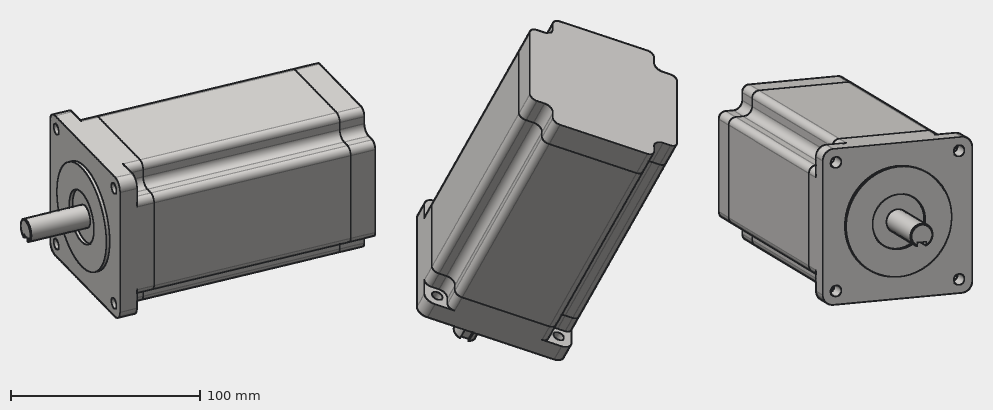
import cadquery as cq

width = 85.0
housing_length = 150.0
shaft_reach = 35.0

flange_thickness = 10.0
front_cap_length = 20.0
rear_cap_length = 14.5
stator_length = housing_length - front_cap_length - rear_cap_length

corner_setback = 13.3
corner_outer_radius = 4.0
corner_inner_radius = 5.0

flange_corner_radius = 6.0
hole_spacing = 70.0
hole_diameter = 6.0

pilot_diameter = 60.0
pilot_height = 2.0
recess_diameter = 30.0
recess_depth = 2.0

shaft_diameter = 12.7
tip_chamfer = 0.5
keyway_width = 5.0
keyway_floor = 3.6
keyway_length = 25.0


def section_at(y):
    """Workplane across the motor axis; positive extrusion runs toward the front (-Y)."""
    return cq.Workplane("XZ", origin=(0, y, 0))


def housing_block(y_front, length):
    """Length of square housing with a rounded step along each corner."""
    y_rear = y_front + length
    arm_width = width - 2 * corner_setback
    upright = section_at(y_rear).rect(arm_width, width).extrude(length)
    crossbar = section_at(y_rear).rect(width, arm_width).extrude(length)
    block = upright.union(crossbar)

    box_half = (width - corner_setback) / 2
    inner_edges = cq.selectors.BoxSelector(
        (-box_half, y_front, -box_half),
        (box_half, y_rear, box_half),
    )
    outer_edges = block.edges("|Y").edges(cq.selectors.InverseSelector(inner_edges))
    block = outer_edges.fillet(corner_outer_radius)
    return block.edges("|Y").edges(inner_edges).fillet(corner_inner_radius)


def mounting_flange():
    """Square plate with rounded corners and four mounting holes."""
    plate = (
        section_at(flange_thickness)
        .rect(width, width)
        .extrude(flange_thickness)
        .edges("|Y")
        .fillet(flange_corner_radius)
    )
    holes = (
        section_at(flange_thickness)
        .rect(hole_spacing, hole_spacing, forConstruction=True)
        .vertices()
        .circle(hole_diameter / 2)
        .extrude(flange_thickness)
    )
    return plate.cut(holes)


def motor_shaft():
    """Round shaft from the recess floor to the tip, with a keyway on its underside."""
    y_recess_floor = recess_depth - pilot_height
    rod = (
        section_at(y_recess_floor)
        .circle(shaft_diameter / 2)
        .extrude(y_recess_floor + shaft_reach)
        .faces("<Y")
        .chamfer(tip_chamfer)
    )
    keyway = (
        section_at(keyway_length - shaft_reach)
        .center(0, -keyway_floor - shaft_diameter / 2)
        .rect(keyway_width, shaft_diameter)
        .extrude(keyway_length)
    )
    return rod.cut(keyway)


def front_cap_body():
    """Front cap: housing section, flange, pilot boss and shaft in one solid."""
    neck = housing_block(flange_thickness, front_cap_length - flange_thickness)
    pilot = section_at(0).circle(pilot_diameter / 2).extrude(pilot_height)
    recess = (
        section_at(recess_depth - pilot_height)
        .circle(recess_diameter / 2)
        .extrude(recess_depth)
    )
    cap = neck.union(mounting_flange()).union(pilot).cut(recess)
    return cap.union(motor_shaft())


front_cap = front_cap_body()
stator = housing_block(front_cap_length, stator_length)
rear_cap = housing_block(front_cap_length + stator_length, rear_cap_length)

result = cq.Compound.makeCompound([front_cap.val(), stator.val(), rear_cap.val()])